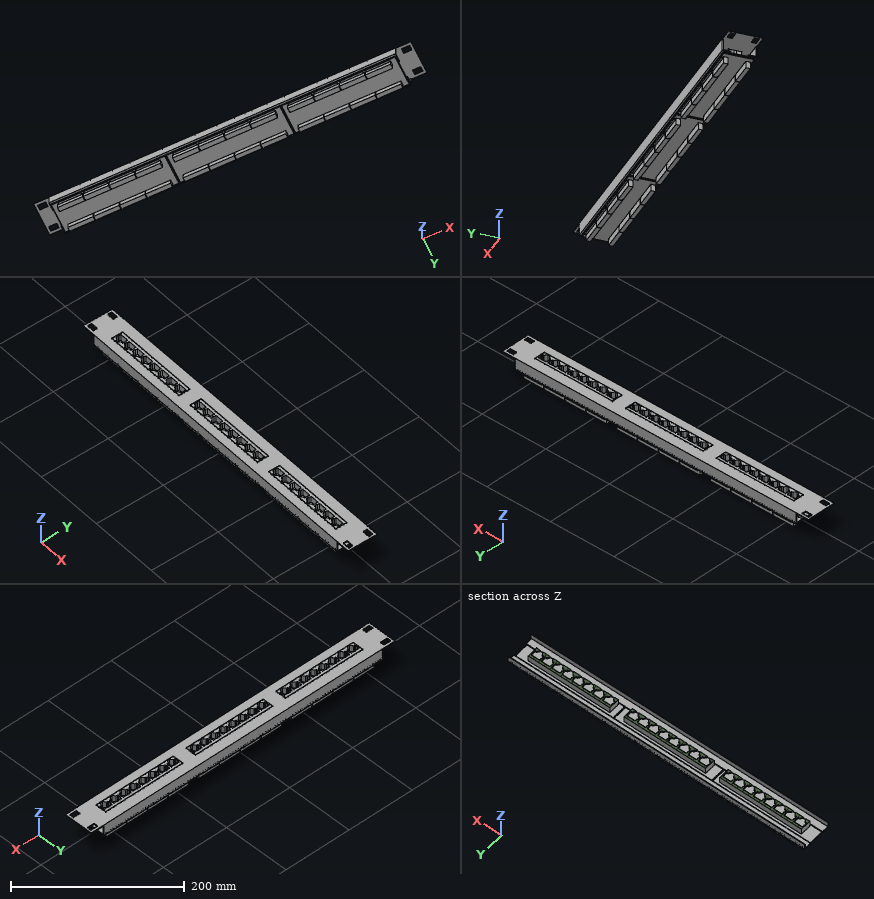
import cadquery as cq

panel_length = 482.0
panel_width = 44.0
sheet = 1.5
overall_height = 27.5

channel_length = 442.5
channel_depth = 16.5
lip_width = 11.0

mount_hole_length = 10.0
mount_hole_width = 6.0
mount_hole_x = 232.5
mount_hole_y = 15.0

module_count = 3

window_pitch = 142.5
window_length = 122.5
window_width = 16.5
window_y = -1.5
window_gap = 0.25
ports_per_block = 8
port_depth = 9.0
port_width = 12.0
port_divider = 3.15
port_pitch = port_width + port_divider
port_top = 2.5
ear_width = 13.0
ear_top = -0.5
ear_bottom = -3.5
port_shoulder = -5.0
latch_top_width = 8.0
latch_bottom_width = 3.0
port_bottom = -8.5

board_pitch = 147.0
board_length = 146.0
board_width = 39.0
board_thickness = 1.5
carrier_length = 145.0
carrier_width = 38.5
carrier_thickness = 1.0
terminals_per_row = 4
terminal_length = 32.5
terminal_gap = 0.7
terminal_pitch = terminal_length + terminal_gap
terminal_inner_y = 11.0
terminal_outer_y = 17.0
foot_length = 29.5
foot_depth = 20.2

board_top = -channel_depth
board_bottom = board_top - board_thickness
carrier_bottom = board_bottom - carrier_thickness


def block(x_size, y_range, z_range, x=0.0):
    """Box centred on x, spanning the given y and z ranges."""
    y_low, y_high = sorted(y_range)
    z_low, z_high = sorted(z_range)
    box = cq.Workplane("XY").box(x_size, y_high - y_low, z_high - z_low, centered=(True, False, False))
    return box.translate((x, y_low, z_low))


def row(count, pitch):
    """Evenly spaced positions centred on zero."""
    return [(i - (count - 1) / 2) * pitch for i in range(count)]


def housing():
    """C-shaped sheet channel with a longer faceplate, its windows and its mounting holes."""
    half = panel_width / 2
    body = block(panel_length, (-half, half), (-sheet, 0))
    for side in (-1, 1):
        outer = side * half
        body = body.union(block(channel_length, (outer, outer - side * sheet), (-channel_depth, 0)))
        lip_z = (-channel_depth, -channel_depth + sheet)
        body = body.union(block(channel_length, (outer, outer - side * lip_width), lip_z))
    windows = (
        cq.Workplane("XY")
        .pushPoints([(x, window_y) for x in row(module_count, window_pitch)])
        .rect(window_length, window_width)
        .extrude(-sheet)
    )
    holes = (
        cq.Workplane("XY")
        .rect(2 * mount_hole_x, 2 * mount_hole_y, forConstruction=True)
        .vertices()
        .rect(mount_hole_length, mount_hole_width)
        .extrude(-sheet)
    )
    return body.cut(windows).cut(holes)


def port(x):
    """Blind jack opening: a rectangle with shallow ears at its sides and a tapering latch recess."""
    right_side = [
        (port_width / 2, port_top),
        (port_width / 2, ear_top),
        (ear_width / 2, ear_top),
        (ear_width / 2, ear_bottom),
        (port_width / 2, ear_bottom),
        (port_width / 2, port_shoulder),
        (latch_top_width / 2, port_shoulder),
        (latch_bottom_width / 2, port_bottom),
    ]
    left_side = [(-px, py) for px, py in reversed(right_side)]
    opening = cq.Workplane("XY").polyline(right_side + left_side).close().extrude(-port_depth)
    return opening.translate((x, 0, 0))


def jack_block():
    """Row of jacks in one housing, standing on the board and flush with the faceplate."""
    half_width = window_width / 2 - window_gap
    y_range = (window_y - half_width, window_y + half_width)
    body = block(window_length - 2 * window_gap, y_range, (board_top, 0))
    for x in row(ports_per_block, port_pitch):
        body = body.cut(port(x))
    return body


def circuit_board():
    """Board on a thin carrier, with a row of footed terminal blocks along each long edge."""
    half_board = board_width / 2
    half_carrier = carrier_width / 2
    body = block(board_length, (-half_board, half_board), (board_bottom, board_top))
    body = body.union(block(carrier_length, (-half_carrier, half_carrier), (carrier_bottom, board_bottom)))
    for side in (-1, 1):
        terminal_y = (side * terminal_inner_y, side * terminal_outer_y)
        foot_y = (side * terminal_inner_y, side * half_carrier)
        for x in row(terminals_per_row, terminal_pitch):
            body = body.union(block(terminal_length, terminal_y, (-overall_height, carrier_bottom), x))
            body = body.union(block(foot_length, foot_y, (-foot_depth, carrier_bottom), x))
    return body


result = housing()
jacks = jack_block()
board = circuit_board()
for board_x, window_x in zip(row(module_count, board_pitch), row(module_count, window_pitch)):
    result = result.union(board.translate((board_x, 0, 0)))
    result = result.union(jacks.translate((window_x, 0, 0)))